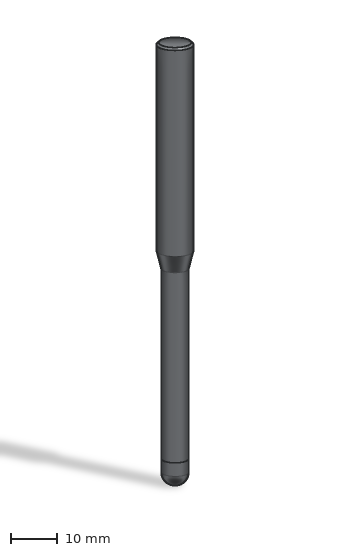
import cadquery as cq

total_length = 100.0
shank_diameter = 8.0
neck_diameter = 6.0

shank_length = 47.0
taper_length = 4.0
cutting_length = 6.0
shank_chamfer = 0.5

shank_radius = shank_diameter / 2
neck_radius = neck_diameter / 2
tip_z = -total_length / 2
joint_z = tip_z + cutting_length
top_z = tip_z + total_length
taper_top_z = top_z - shank_length
taper_bottom_z = taper_top_z - taper_length


def make_holder():
    """Revolved shank with a chamfered top, a taper and a slim neck."""
    profile = (
        cq.Workplane("XZ")
        .moveTo(0, joint_z)
        .lineTo(neck_radius, joint_z)
        .lineTo(neck_radius, taper_bottom_z)
        .lineTo(shank_radius, taper_top_z)
        .lineTo(shank_radius, top_z - shank_chamfer)
        .lineTo(shank_radius - shank_chamfer, top_z)
        .lineTo(0, top_z)
        .close()
    )
    return profile.revolve(360, (0, 0, 0), (0, 1, 0))


def make_cutting_head():
    """Cylinder ending in a hemispherical tip, joined to the neck's flat end."""
    profile = (
        cq.Workplane("XZ")
        .moveTo(0, tip_z)
        .radiusArc((neck_radius, tip_z + neck_radius), -neck_radius)
        .lineTo(neck_radius, joint_z)
        .lineTo(0, joint_z)
        .close()
    )
    return profile.revolve(360, (0, 0, 0), (0, 1, 0))


holder = make_holder()
cutting_head = make_cutting_head()

result = cq.Compound.makeCompound([holder.val(), cutting_head.val()])